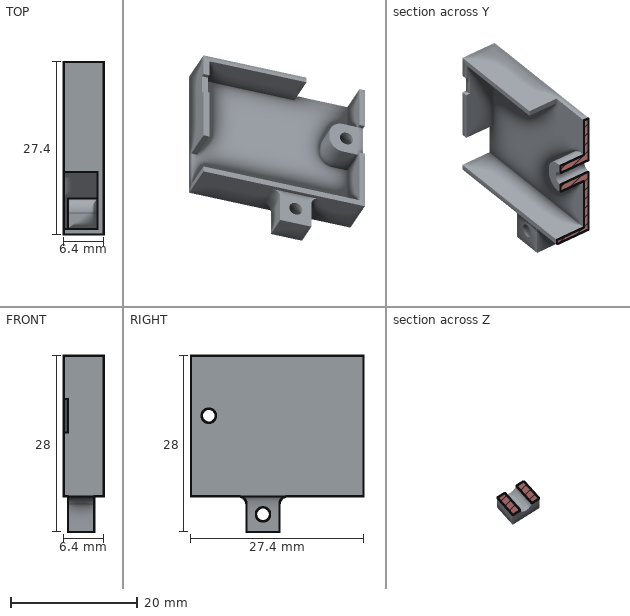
import cadquery as cq

depth = 6.4
length = 27.4
height = 22.35
floor = 1.0
front_wall = 0.9
rear_wall = 1.0
top_wall = 0.9
bottom_wall = 0.95

top_wall_start = 9.9
rear_wall_start = 6.95
notch_bottom = 15.45
notch_height = 3.3
notch_depth = 0.7

lug_setback = 0.7
lug_width = 5.3
tab_length = 5.65
boss_length = 5.75
hole_diameter = 2.2
hole_offset = 2.85
boss_center_z = 12.8
boss_corner_radius = 2.3
tab_center_y = 11.45
tab_thickness = 4.2
tab_root_radius = 1.2


def block(x, y, z):
    """Box spanning the given (start, end) pairs along X, Y and Z."""
    size = [end - start for start, end in (x, y, z)]
    return cq.Workplane("XY").box(*size, centered=False).translate((x[0], y[0], z[0]))


def make_tray():
    cavity_x = (0, depth - floor)
    tray = block((0, depth), (0, length), (0, height))
    tray = tray.cut(block(cavity_x, (front_wall, length - rear_wall), (bottom_wall, height - top_wall)))
    top_opening = block(cavity_x, (front_wall, top_wall_start), (height - top_wall, height))
    rear_opening = block(cavity_x, (length - rear_wall, length), (bottom_wall, rear_wall_start))
    rear_notch = block(
        (0, notch_depth),
        (length - rear_wall, length),
        (notch_bottom, notch_bottom + notch_height),
    )
    return tray.cut(top_opening).cut(rear_opening).cut(rear_notch)


def boss_recess():
    """Gap in the front wall's rim that is level with the boss face."""
    return block(
        (0, lug_setback),
        (0, front_wall),
        (boss_center_z - lug_width / 2, boss_center_z + lug_width / 2),
    )


def make_boss():
    boss = block(
        (lug_setback, depth),
        (0, boss_length),
        (boss_center_z - lug_width / 2, boss_center_z + lug_width / 2),
    )
    return boss.edges("|X and >Y").fillet(boss_corner_radius)


def make_tab():
    half = lug_width / 2
    return (
        cq.Workplane("YZ", origin=(lug_setback, 0, 0))
        .moveTo(tab_center_y - half, -tab_length)
        .lineTo(tab_center_y + half, -tab_length)
        .lineTo(tab_center_y + half, -tab_root_radius)
        .radiusArc((tab_center_y + half + tab_root_radius, 0), tab_root_radius)
        .lineTo(tab_center_y - half - tab_root_radius, 0)
        .radiusArc((tab_center_y - half, -tab_root_radius), tab_root_radius)
        .close()
        .extrude(tab_thickness)
    )


def screw_hole(y, z):
    return cq.Workplane("YZ").center(y, z).circle(hole_diameter / 2).extrude(depth)


result = make_tray().cut(boss_recess()).union(make_boss()).union(make_tab())
result = result.cut(screw_hole(hole_offset, boss_center_z))
result = result.cut(screw_hole(tab_center_y, -hole_offset))